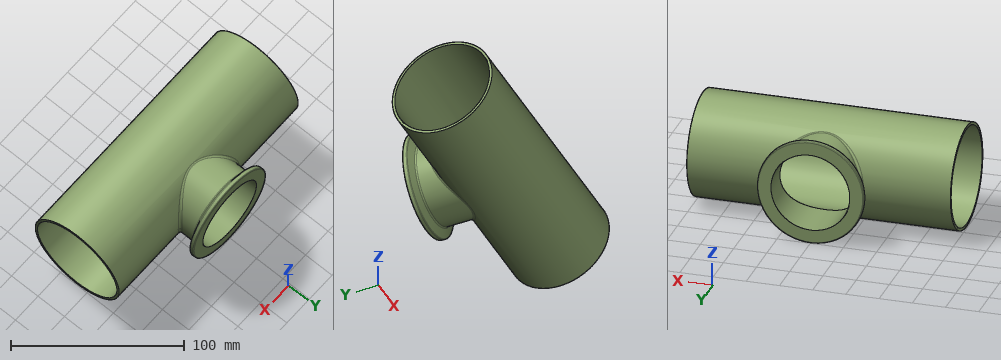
import cadquery as cq
import math

run_length = 158.8
run_diameter = 63.5
run_bore = 60.2

branch_diameter = 50.8
branch_bore = 47.5
face_y = 47.6
joint_fillet = 1.6

flange_diameter = 64.0
rim_width = 2.9
rim_fillet = 0.5
clamp_angle = 20.0
neck_fillet = 1.0

run_radius = run_diameter / 2
branch_radius = branch_diameter / 2
flange_radius = flange_diameter / 2


def run_cylinder(diameter):
    return cq.Workplane("YZ").circle(diameter / 2).extrude(run_length / 2, both=True)


def branch_cylinder(diameter):
    return cq.Workplane("XZ").circle(diameter / 2).extrude(-face_y)


def clamp_flange():
    """Disc around the branch axis with a straight rim, softened edges and a sloped back."""
    rim_y = face_y - rim_width
    slope_depth = (flange_radius - branch_radius) * math.tan(math.radians(clamp_angle))
    neck_y = rim_y - slope_depth
    profile = [
        (0, face_y),
        (flange_radius, face_y),
        (flange_radius, rim_y),
        (branch_radius, neck_y),
        (0, neck_y),
    ]
    disc = cq.Workplane("XY").polyline(profile).close().revolve(360, (0, 0, 0), (0, 1, 0))
    return disc.faces("%CYLINDER").edges("%CIRCLE").fillet(rim_fillet)


def flanged_branch():
    """Solid branch with its flange, the neck rounded where the slope meets the tube."""
    branch = branch_cylinder(branch_diameter).union(clamp_flange())
    neck_edge = cq.selectors.RadiusNthSelector(0)
    return branch.faces("%CONE").edges(neck_edge).fillet(neck_fillet)


outside = run_cylinder(run_diameter).union(flanged_branch())
joint_box = cq.selectors.BoxSelector(
    (-branch_radius, 0, -branch_radius),
    (branch_radius, run_radius, branch_radius),
)
outside = outside.edges(joint_box).edges("not %LINE").fillet(joint_fillet)

result = outside.cut(run_cylinder(run_bore)).cut(branch_cylinder(branch_bore))